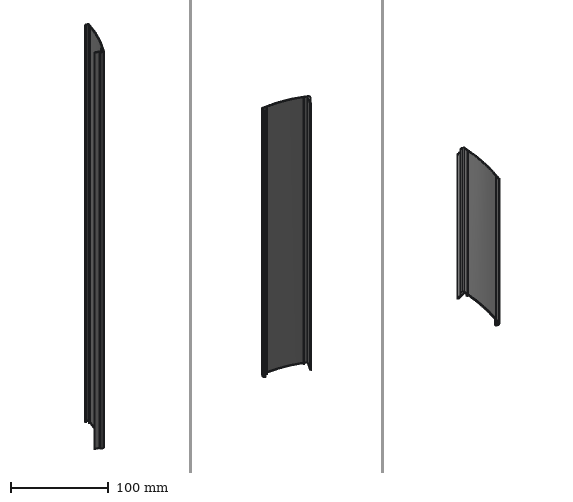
import cadquery as cq
import math

width = 51.5
depth = 12.5
length = 500.0

web_thickness = 1.0
arch_rise = 2.25
half_width = width / 2
crown_y = depth / 2
outer_radius = (half_width**2 + arch_rise**2) / (2 * arch_rise)
inner_radius = outer_radius - web_thickness
arch_center_y = crown_y - outer_radius

hook_wall = 1.0
hook_height = 4.5
hook_reach = 3.0
hook_chamfer = 1.5
lip_height = 1.0

leg_thickness = 1.25
leg_inset = 1.5
bead_drop = 3.5
bead_height = 3.5
bead_slope = 0.75
tip_height = 1.0

rib_width = 1.0
rib_depth = 1.5
rib_positions = (-20.5, 19.0)


def arch_y(x, radius):
    """Height of an arch surface at a given X."""
    return arch_center_y + math.sqrt(radius**2 - x**2)


def extrude(sketch):
    return sketch.close().extrude(length).translate((0, 0, -length / 2))


def make_web(left, right):
    inner_crown_y = crown_y - web_thickness
    return extrude(
        cq.Workplane("XY")
        .moveTo(left, arch_y(left, outer_radius))
        .threePointArc((0, crown_y), (right, arch_y(right, outer_radius)))
        .lineTo(right, arch_y(right, inner_radius))
        .threePointArc((0, inner_crown_y), (left, arch_y(left, inner_radius)))
    )


def make_hook():
    left = -half_width
    wall_right = left + hook_wall
    tip_x = left + hook_reach
    top = arch_y(left, outer_radius)
    bottom = top - hook_height
    return extrude(
        cq.Workplane("XY").polyline([
            (left, top),
            (left, bottom + hook_chamfer),
            (left + hook_chamfer, bottom),
            (tip_x, bottom),
            (tip_x, bottom + lip_height),
            (wall_right, bottom + lip_height),
            (wall_right, arch_y(wall_right, outer_radius)),
        ])
    )


def make_leg():
    outer = half_width - leg_inset
    inner = outer - leg_thickness
    bottom = -depth / 2
    bead_top = crown_y - bead_drop
    bead_bottom = bead_top - bead_height
    return extrude(
        cq.Workplane("XY").polyline([
            (inner, arch_y(inner, outer_radius)),
            (outer, arch_y(outer, outer_radius)),
            (half_width, bead_top),
            (half_width, bead_bottom + bead_slope),
            (outer, bead_bottom),
            (outer, bottom),
            (inner, bottom + tip_height),
        ])
    )


def make_rib(x):
    left = x - rib_width / 2
    right = x + rib_width / 2
    bottom = arch_y(x, inner_radius) - rib_depth
    return extrude(
        cq.Workplane("XY").polyline([
            (left, arch_y(left, outer_radius) - web_thickness / 2),
            (right, arch_y(right, outer_radius) - web_thickness / 2),
            (right, bottom),
            (left, bottom),
        ])
    )


result = make_web(-half_width, half_width - leg_inset).union(make_hook()).union(make_leg())
for rib_x in rib_positions:
    result = result.union(make_rib(rib_x))